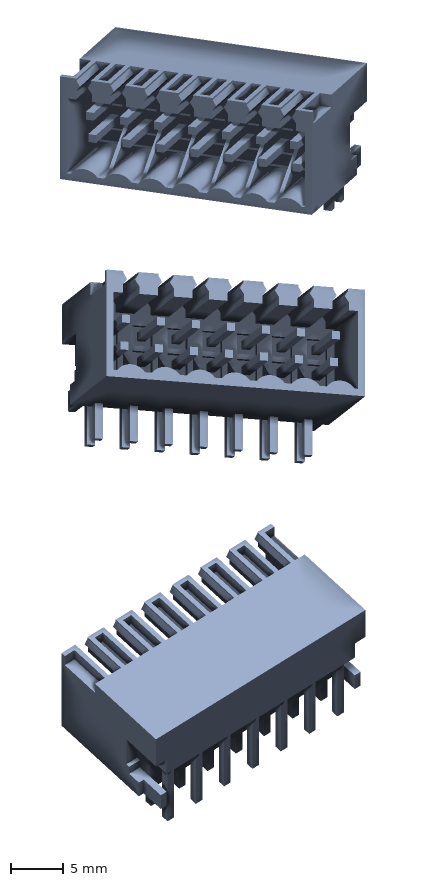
import cadquery as cq


pole_count = 7
pitch = 3.5
wall = 0.7
housing_width = pole_count * pitch + 2 * wall
housing_depth = 14.2
housing_height = 10.5
cavity_floor = 0.68
cavity_top = 8.35
cavity_depth = 7.5

heel_cut_height = 4.55
heel_lip_height = 4.13
heel_lip_setback = 2.04
heel_setback = 2.57
heel_lip_y = housing_depth - heel_lip_setback
heel_y = housing_depth - heel_setback

recess_depth = 1.32
recess_length = 4.44
recess_foot_length = 4.02
recess_front_y = housing_depth - recess_length
recess_step_y = housing_depth - recess_foot_length
recess_step_height = 3.0
recess_top = 6.6
arm_height = 1.98
arm_inset = 0.6

pin_size = 0.8
pin_tail_length = 3.5
upper_pin_tip_y = 1.53
lower_pin_tip_y = 2.15
row_spacing = 2.5
lower_pin_z = 3.72
upper_pin_z = lower_pin_z + row_spacing
rear_tail_setback = 1.15
rear_tail_y = housing_depth - rear_tail_setback
front_tail_y = rear_tail_y - row_spacing

slot_length = 5.05
slot_mouth_width = 1.5
slot_neck_width = 0.8
slot_lip_drop = 0.2
slot_neck_drop = 0.78
slot_key_width = 1.65
slot_key_drop = 1.38
pocket_width = 1.0
pocket_depth = 1.3
pocket_front_wall = 0.5

valley_width = 0.7
ridge_half_width = (pitch - valley_width) / 2
ridge_height = 0.68
rib_thickness = 0.4
rib_toe_y = 2.54
rib_top = 4.5
seat_depth = 0.5
pin_seat_size = 2.0
latch_seat_width = 3.0
latch_seat_height = 0.78

pole_xs = [pitch * (i - (pole_count - 1) / 2) for i in range(pole_count)]
divider_xs = [x + pitch / 2 for x in pole_xs[:-1]]


def box(x_min, x_max, y_min, y_max, z_min, z_max):
    """Axis-aligned block given by its limits."""
    return cq.Workplane("XY").box(
        x_max - x_min, y_max - y_min, z_max - z_min, centered=False
    ).translate((x_min, y_min, z_min))


def block_at(x, width, y_min, y_max, z_min, z_max):
    """Block centred on x."""
    return box(x - width / 2, x + width / 2, y_min, y_max, z_min, z_max)


def extrude_side_profile(points, x_min, x_max):
    """Extrude a (Y, Z) outline from x_min to x_max."""
    profile = cq.Workplane("YZ", origin=(x_min, 0, 0)).polyline(points).close()
    return profile.extrude(x_max - x_min)


def extrude_front_profile(profile, depth):
    """Extrude a closed (X, Z) outline from the mating face towards +Y."""
    return profile.extrude(-depth)


def housing_shell():
    side = [
        (0, 0),
        (heel_y, 0),
        (heel_y, heel_lip_height),
        (heel_lip_y, heel_lip_height),
        (heel_lip_y, heel_cut_height),
        (housing_depth, heel_cut_height),
        (housing_depth, housing_height),
        (0, housing_height),
    ]
    shell = extrude_side_profile(side, -housing_width / 2, housing_width / 2)
    cavity_width = housing_width - 2 * wall
    return shell.cut(block_at(0, cavity_width, 0, cavity_depth, cavity_floor, cavity_top))


def side_recess():
    """Stepped recess in the -X side, open to the rear."""
    outline = [
        (recess_step_y, arm_height),
        (housing_depth, arm_height),
        (housing_depth, recess_top),
        (recess_front_y, recess_top),
        (recess_front_y, recess_step_height),
        (recess_step_y, recess_step_height),
    ]
    outer_x = -housing_width / 2
    return extrude_side_profile(outline, outer_x, outer_x + recess_depth)


def rear_arm():
    """Arm behind the heel at the -X end."""
    outer_x = -housing_width / 2
    return box(outer_x + arm_inset, outer_x + recess_depth, heel_y, housing_depth, 0, arm_height)


def both_ends(solid):
    """The given -X end feature together with its mirror image at +X."""
    return solid.union(solid.mirror("YZ"))


def trapezoid_slot(x, top_width, top_z, bottom_width, bottom_z, depth):
    outline = [
        (x - top_width / 2, top_z),
        (x - bottom_width / 2, bottom_z),
        (x + bottom_width / 2, bottom_z),
        (x + top_width / 2, top_z),
    ]
    return extrude_front_profile(cq.Workplane("XZ").polyline(outline).close(), depth)


def coding_slot(x):
    """Hourglass slot in the top wall; below the neck it runs to the cavity's rear wall."""
    lip_z = housing_height - slot_lip_drop
    neck_z = housing_height - slot_neck_drop
    key_z = housing_height - slot_key_drop
    lip = block_at(x, slot_mouth_width, 0, slot_length, lip_z, housing_height)
    mouth = trapezoid_slot(x, slot_mouth_width, lip_z, slot_neck_width, neck_z, slot_length)
    flare = trapezoid_slot(x, slot_neck_width, neck_z, slot_key_width, key_z, cavity_depth)
    key = block_at(x, slot_key_width, 0, cavity_depth, cavity_top, key_z)
    return lip.union(mouth).union(flare).union(key)


def top_pocket(x_min, x_max):
    """Blind pocket sunk into the top wall behind a thin front wall."""
    floor_z = housing_height - pocket_depth
    return box(x_min, x_max, pocket_front_wall, slot_length, floor_z, housing_height)


def end_pocket():
    """Pocket in the top -X corner, open to the side."""
    outer_x = -housing_width / 2
    return top_pocket(outer_x, outer_x + wall + pocket_width / 2)


def floor_ridge(x):
    """Rounded ridge on the cavity floor below one pole."""
    profile = (
        cq.Workplane("XZ")
        .moveTo(x - ridge_half_width, cavity_floor)
        .threePointArc((x, cavity_floor + ridge_height), (x + ridge_half_width, cavity_floor))
        .close()
    )
    return extrude_front_profile(profile, cavity_depth)


def dividing_rib(x):
    """Sloped rib between two poles."""
    outline = [(rib_toe_y, cavity_floor), (cavity_depth, cavity_floor), (cavity_depth, rib_top)]
    return extrude_side_profile(outline, x - rib_thickness / 2, x + rib_thickness / 2)


def rear_wall_seats(x):
    """Square seats round both pins, and the low seat above the floor ridge."""
    seat_end = cavity_depth + seat_depth
    half = pin_seat_size / 2
    latch_z = cavity_floor + ridge_height
    seats = block_at(x, latch_seat_width, cavity_depth, seat_end, latch_z, latch_z + latch_seat_height)
    for z in (lower_pin_z, upper_pin_z):
        seats = seats.union(block_at(x, pin_seat_size, cavity_depth, seat_end, z - half, z + half))
    return seats


def angled_pin(x, tip_y, contact_z, tail_y):
    """L-shaped square pin: contact along Y, tail down below the base."""
    half = pin_size / 2
    outline = [
        (tip_y, contact_z - half),
        (tail_y - half, contact_z - half),
        (tail_y - half, -pin_tail_length),
        (tail_y + half, -pin_tail_length),
        (tail_y + half, contact_z + half),
        (tip_y, contact_z + half),
    ]
    return extrude_side_profile(outline, x - half, x + half)


housing = housing_shell()
housing = housing.cut(both_ends(side_recess()))
housing = housing.union(both_ends(rear_arm()))
housing = housing.cut(both_ends(end_pocket()))

for divider_x in divider_xs:
    housing = housing.cut(top_pocket(divider_x - pocket_width / 2, divider_x + pocket_width / 2))
    housing = housing.union(dividing_rib(divider_x))

for pole_x in pole_xs:
    housing = housing.cut(coding_slot(pole_x))
    housing = housing.cut(rear_wall_seats(pole_x))
    housing = housing.union(floor_ridge(pole_x))
    housing = housing.union(angled_pin(pole_x, lower_pin_tip_y, lower_pin_z, front_tail_y))
    housing = housing.union(angled_pin(pole_x, upper_pin_tip_y, upper_pin_z, rear_tail_y))

result = housing